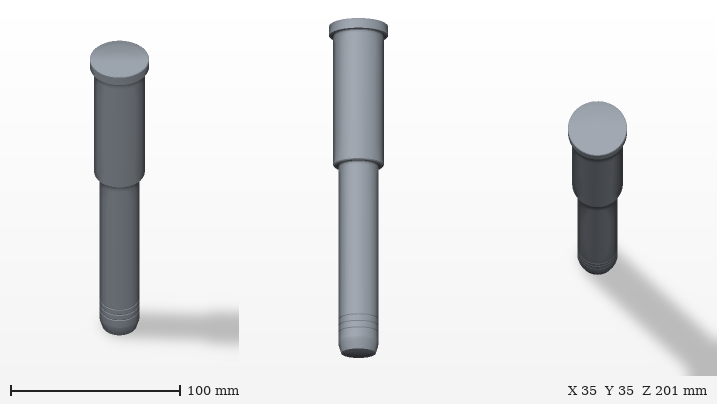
import cadquery as cq

total_length = 201.0
head_radius = 17.5
head_height = 6.0
head_chamfer = 0.5
body_radius = 14.97
body_length = 80.0
body_chamfer = 0.6
shaft_radius = 11.95

nose_height = 7.0
tip_radius = 10.3
nose_arc_radius = 20.0

groove_width = 1.0
groove_depth = 0.3
lowest_groove_z = 12.0
groove_pitch = 4.0
groove_count = 3

head_bottom_z = total_length - head_height
body_bottom_z = head_bottom_z - body_length


def cylinder(radius, bottom_z, top_z):
    """Solid cylinder about the Z axis between two heights."""
    return cq.Workplane("XY").workplane(offset=bottom_z).circle(radius).extrude(top_z - bottom_z)


def ring_groove(outer_radius, bottom_z):
    """V-section ring to remove from a cylinder of the given radius."""
    return (
        cq.Workplane("XZ")
        .moveTo(outer_radius, bottom_z)
        .lineTo(outer_radius - groove_depth, bottom_z + groove_width / 2)
        .lineTo(outer_radius, bottom_z + groove_width)
        .close()
        .revolve(360, (0, 0, 0), (0, 1, 0))
    )


def nose():
    """Rounded nose, revolved from its half profile."""
    return (
        cq.Workplane("XZ")
        .lineTo(tip_radius, 0)
        .radiusArc((shaft_radius, nose_height), -nose_arc_radius)
        .lineTo(0, nose_height)
        .close()
        .revolve(360, (0, 0, 0), (0, 1, 0))
    )


head = cylinder(head_radius, head_bottom_z, total_length).faces(">Z").chamfer(head_chamfer)
body = cylinder(body_radius, body_bottom_z, head_bottom_z).faces("<Z").chamfer(body_chamfer)
shaft = cylinder(shaft_radius, nose_height, body_bottom_z)
result = nose().union(shaft).union(body).union(head)

result = result.cut(ring_groove(body_radius, head_bottom_z - groove_width))
result = result.cut(ring_groove(shaft_radius, body_bottom_z - groove_width))

for index in range(groove_count):
    result = result.cut(ring_groove(shaft_radius, lowest_groove_z + index * groove_pitch))